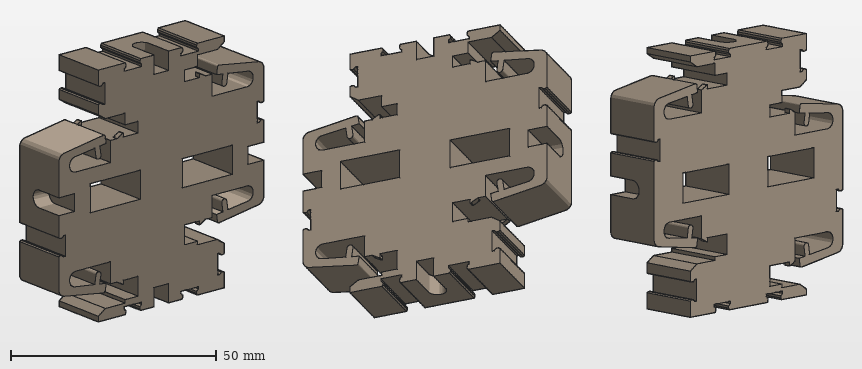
import cadquery as cq
import math

thickness = 15.0
body_side = 65.0
half_side = body_side / 2

flange_half_width = 20.0
flange_underside = 6.0
flange_bevel_width = 2.25
flange_bevel_height = 1.5
step_w = 11.5
notch_w = 7.4

tooth_inner_w = 12.0
tooth_pitch = 2.05
tooth_height = 1.0
tooth_crest = 0.3
tooth_length = 1.5
shelf_end_w = tooth_inner_w + 2 * tooth_pitch

pocket_depth = 5.7
pocket_radius = 2.0
pocket_center_w = 27.1

arm_tip_w = 17.5
arm_tip_h = -0.45
arm_tip_thickness = 2.4
arm_outer_angle = 8.6
arm_tip_round = 0.5
arm_root_round = 2.0

pin_w = 20.3
pin_width = 1.6
pin_length = 3.2

shelf_far = 23.5
shelf_near = 13.5
upper_notch_height = 3.0
lower_notch_height = 5.1
corners = [
    (1, 1, shelf_far, upper_notch_height),
    (-1, 1, shelf_near, upper_notch_height),
    (1, -1, shelf_near, lower_notch_height),
    (-1, -1, shelf_far, lower_notch_height),
]

groove_depth = 2.1
groove_half_width = 2.75
groove_mouth_half = 2.45
lip_half_gap = 2.2
lip_start = 0.45
lip_end = 1.0
lip_back = lip_end + groove_half_width - lip_half_gap
end_groove_offset = 9.0
flange_groove_z = 26.0
side_groove_z = 10.5

window_length = 15.8
window_height = 7.5
window_center_y = 14.6
slot_width = 4.6
slot_center_x = 0.0
slot_depth = 5.0

cut_margin = 1.0


def plate_section(workplane):
    """Extrude a closed sketch in the YZ plane through the plate thickness."""
    return workplane.close().extrude(thickness / 2, both=True)


def corner_opening(side_y, side_z, shelf, notch_height):
    """Material removed between the flange and the shelf, outside the arm."""

    def place(w, h):
        return (side_y * w, side_z * (shelf + h))

    outside_w = half_side + cut_margin
    outside_h = half_side + cut_margin - shelf

    angle = math.radians(arm_outer_angle)
    along = (math.cos(angle), -math.sin(angle))
    across = (math.sin(angle), math.cos(angle))

    pocket_center_h = pocket_radius - pocket_depth
    reach_w = pocket_center_w - arm_tip_w
    drop_h = arm_tip_h - pocket_center_h
    reach = math.hypot(reach_w, drop_h)
    under_angle = math.atan2(drop_h, reach_w) - math.asin(pocket_radius / reach)
    under_slope = math.tan(under_angle)
    tangent_w = pocket_center_w + pocket_radius * math.sin(under_angle)
    tangent_h = pocket_center_h + pocket_radius * math.cos(under_angle)

    def underside(w):
        return arm_tip_h - (w - arm_tip_w) * under_slope

    round_inset = 1 - math.sqrt(0.5)

    tip_top_w = arm_tip_w + arm_tip_thickness * across[0]
    tip_top_h = arm_tip_h + arm_tip_thickness * across[1]
    corner_h = tip_top_h - (half_side - tip_top_w) * math.tan(angle)
    root_mid_angle = (math.pi / 2 - angle) / 2
    root_length = arm_root_round * math.tan(root_mid_angle)
    root_center_w = half_side - arm_root_round
    root_center_h = corner_h - root_length
    root_mid = (
        root_center_w + arm_root_round * math.cos(root_mid_angle),
        root_center_h + arm_root_round * math.sin(root_mid_angle),
    )
    root_start = (half_side - root_length * along[0], corner_h - root_length * along[1])

    sketch = (
        cq.Workplane("YZ")
        .moveTo(*place(flange_half_width, outside_h))
        .lineTo(*place(flange_half_width, flange_underside + flange_bevel_height))
        .lineTo(*place(flange_half_width - flange_bevel_width, flange_underside))
        .lineTo(*place(step_w, flange_underside))
        .lineTo(*place(step_w, notch_height))
        .lineTo(*place(notch_w, notch_height))
        .lineTo(*place(notch_w, 0))
        .lineTo(*place(shelf_end_w, 0))
        .lineTo(*place(shelf_end_w, -pocket_depth))
        .lineTo(*place(pocket_center_w, -pocket_depth))
        .threePointArc(
            place(pocket_center_w + pocket_radius, pocket_center_h),
            place(tangent_w, tangent_h),
        )
        .lineTo(*place(arm_tip_w, arm_tip_h))
        .lineTo(
            *place(
                tip_top_w - arm_tip_round * across[0],
                tip_top_h - arm_tip_round * across[1],
            )
        )
        .threePointArc(
            place(
                tip_top_w + arm_tip_round * round_inset * (along[0] - across[0]),
                tip_top_h + arm_tip_round * round_inset * (along[1] - across[1]),
            ),
            place(
                tip_top_w + arm_tip_round * along[0],
                tip_top_h + arm_tip_round * along[1],
            ),
        )
        .lineTo(*place(*root_start))
        .threePointArc(place(*root_mid), place(half_side, root_center_h))
        .lineTo(*place(outside_w, root_center_h))
        .lineTo(*place(outside_w, outside_h))
    )
    opening = plate_section(sketch)

    pin_radius = pin_width / 2
    pin_root_h = underside(pin_w)
    pin_straight = pin_length - pin_radius

    def pin_point(sideways, down):
        return place(
            pin_w + sideways * along[0] - down * across[0],
            pin_root_h + sideways * along[1] - down * across[1],
        )

    pin = plate_section(
        cq.Workplane("YZ")
        .moveTo(*pin_point(-pin_radius, -pin_radius))
        .lineTo(*pin_point(-pin_radius, pin_straight))
        .threePointArc(pin_point(0, pin_length), pin_point(pin_radius, pin_straight))
        .lineTo(*pin_point(pin_radius, -pin_radius))
    )

    def tooth(inner_w, start_x):
        return (
            cq.Workplane("YZ")
            .workplane(offset=start_x)
            .moveTo(*place(inner_w, 0))
            .lineTo(*place(inner_w, tooth_height))
            .lineTo(*place(inner_w + tooth_crest, tooth_height))
            .lineTo(*place(inner_w + tooth_pitch, 0))
            .close()
            .extrude(tooth_length)
        )

    inner_tooth = tooth(tooth_inner_w, thickness / 2 - tooth_length)
    outer_tooth = tooth(tooth_inner_w + tooth_pitch, -thickness / 2)
    return opening.cut(pin).cut(inner_tooth).cut(outer_tooth)


def lipped_groove(y, z, turn):
    """Groove through the thickness; at turn 0 it opens upwards at (y, z)."""
    half_outline = [
        (groove_mouth_half, cut_margin),
        (groove_mouth_half, 0),
        (lip_half_gap, -lip_start),
        (lip_half_gap, -lip_end),
        (groove_half_width, -lip_back),
        (groove_half_width, -groove_depth),
    ]
    mirrored = [(-across, depth) for across, depth in reversed(half_outline)]
    groove = plate_section(cq.Workplane("YZ").polyline(half_outline + mirrored))
    return groove.rotate((0, 0, 0), (1, 0, 0), turn).translate((0, y, z))


def windows():
    """Two rectangular openings through the thickness."""
    return (
        cq.Workplane("YZ")
        .pushPoints([(-window_center_y, 0), (window_center_y, 0)])
        .rect(window_length, window_height)
        .extrude(thickness / 2, both=True)
    )


def edge_slot(turn):
    """Round-ended blind slot, open on +X; at turn 0 it is in the top edge."""
    slot_radius = slot_width / 2
    open_end_x = thickness / 2 + cut_margin
    slot = (
        cq.Workplane("XY")
        .workplane(offset=half_side - slot_depth)
        .moveTo(open_end_x, slot_radius)
        .lineTo(slot_center_x, slot_radius)
        .threePointArc((slot_center_x - slot_radius, 0), (slot_center_x, -slot_radius))
        .lineTo(open_end_x, -slot_radius)
        .close()
        .extrude(slot_depth + cut_margin)
    )
    return slot.rotate((0, 0, 0), (1, 0, 0), turn)


result = cq.Workplane("XY").box(thickness, body_side, body_side)

for corner in corners:
    result = result.cut(corner_opening(*corner))

to_top, to_plus_y, to_bottom, to_minus_y = 0, -90, 180, 90
grooves = [
    (end_groove_offset, half_side, to_top),
    (-end_groove_offset, half_side, to_top),
    (end_groove_offset, -half_side, to_bottom),
    (-end_groove_offset, -half_side, to_bottom),
    (half_side, side_groove_z, to_plus_y),
    (-half_side, -side_groove_z, to_minus_y),
    (flange_half_width, -flange_groove_z, to_plus_y),
    (-flange_half_width, flange_groove_z, to_minus_y),
]
for groove_place in grooves:
    result = result.cut(lipped_groove(*groove_place))

result = result.cut(windows())

for slot_turn in (to_top, to_plus_y, to_bottom, to_minus_y):
    result = result.cut(edge_slot(slot_turn))